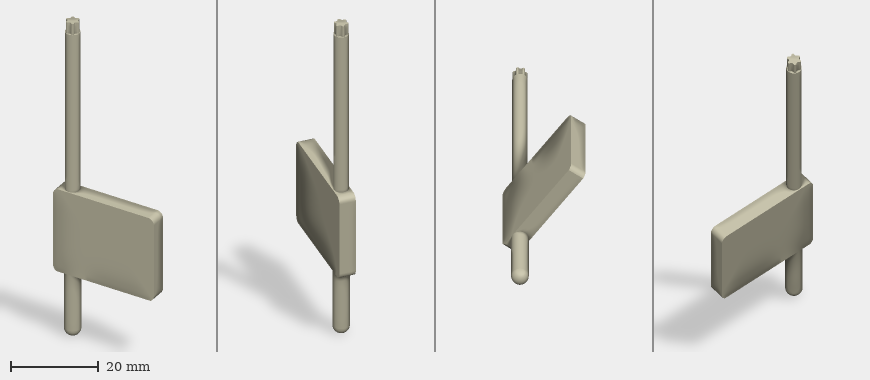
import cadquery as cq
import math

total_length = 84.0

flag_width = 27.0
flag_thickness = 4.0
flag_bottom = 17.0
flag_top = 39.0
corner_radius = 1.5
lower_corner_inset = 0.9

pin_diameter = flag_thickness
pin_radius = pin_diameter / 2
shaft_diameter = 3.5
shaft_offset = 4.0

lobe_count = 6
tip_length = 2.9
tip_radius = 1.7
root_radius = 1.2
lobe_edge_distance = 1.4
lobe_half_width = 0.3


def polar(radius, angle):
    return radius * math.cos(angle), radius * math.sin(angle)


def make_flag():
    """Plate with quarter-round upper corners and shallower, clipped lower ones."""
    left = -shaft_offset
    right = left + flag_width
    lower_arc_top = flag_bottom + corner_radius
    arc_radius = (lower_corner_inset**2 + corner_radius**2) / (2 * lower_corner_inset)
    return (
        cq.Workplane("XZ")
        .moveTo(left + lower_corner_inset, flag_bottom)
        .lineTo(right - lower_corner_inset, flag_bottom)
        .radiusArc((right, lower_arc_top), -arc_radius)
        .lineTo(right, flag_top)
        .lineTo(left, flag_top)
        .lineTo(left, lower_arc_top)
        .radiusArc((left + lower_corner_inset, flag_bottom), -arc_radius)
        .close()
        .extrude(flag_thickness / 2, both=True)
        .edges("|Y and >Z")
        .fillet(corner_radius)
    )


def make_pin():
    """Round pin with a hemispherical lower end."""
    pin = cq.Workplane("XY").workplane(offset=pin_radius).circle(pin_radius).extrude(flag_bottom)
    dome = cq.Workplane("XY").sphere(pin_radius).translate((0, 0, pin_radius))
    return pin.union(dome)


def make_shaft():
    """Round shaft from inside the flag up to the driver tip."""
    shaft_bottom = (flag_bottom + flag_top) / 2
    shaft_top = total_length - tip_length
    return (
        cq.Workplane("XY")
        .workplane(offset=shaft_bottom)
        .circle(shaft_diameter / 2)
        .extrude(shaft_top - shaft_bottom)
    )


def make_driver_tip():
    """Star profile of alternating convex lobes and concave grooves."""
    pitch = 2 * math.pi / lobe_count
    edge_radius = math.hypot(lobe_edge_distance, lobe_half_width)
    edge_angle = math.atan2(lobe_half_width, lobe_edge_distance)
    profile = (
        cq.Workplane("XY")
        .workplane(offset=total_length - tip_length)
        .moveTo(*polar(edge_radius, -edge_angle))
    )
    for lobe in range(lobe_count):
        angle = lobe * pitch
        profile = profile.threePointArc(
            polar(tip_radius, angle), polar(edge_radius, angle + edge_angle)
        )
        profile = profile.threePointArc(
            polar(root_radius, angle + pitch / 2), polar(edge_radius, angle + pitch - edge_angle)
        )
    return profile.close().extrude(tip_length)


result = make_flag().union(make_pin()).union(make_shaft()).union(make_driver_tip())